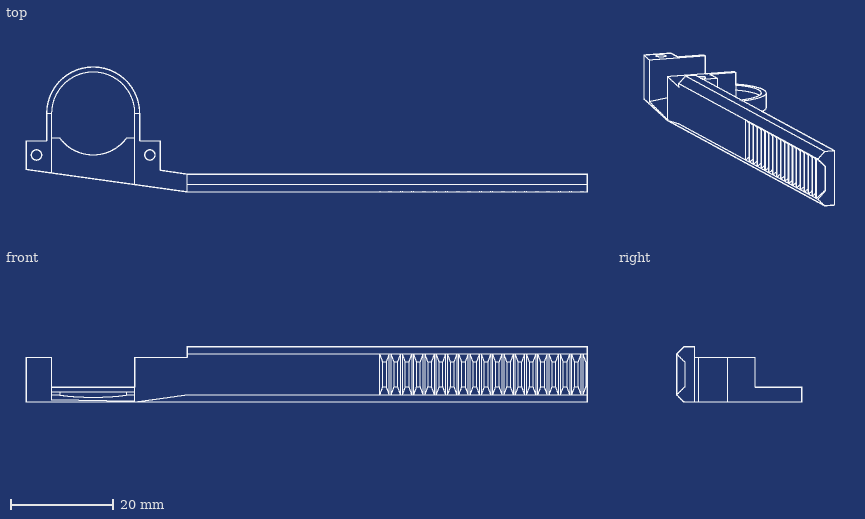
import cadquery as cq
import math

length = 109.7
bar_start = 31.5
bar_depth = 3.5
bar_height = 10.9
bar_chamfer = 1.4

wall_height = 8.8
tray_height = 3.0
tray_floor = 2.0
tray_outer_radius = 9.1
wall_thickness = 1.0
tray_inner_radius = tray_outer_radius - wall_thickness
tray_y = 15.4
head_front_y = 4.4
ear_back_y = 10.0
ear_right_x = 26.2
tray_x = ear_right_x / 2
neck_back_y = 4.3
hole_diameter = 2.0
hole_y = 7.2
hole_offset = 11.1

apron_back_y = 10.5
apron_slope = 0.13

tooth_module = 0.7
tooth_pitch = math.pi * tooth_module
depth_per_module = 2.25
tooth_depth = depth_per_module * tooth_module
pressure_angle = 20.0
root_width = 0.71
rack_start = 69.1
mouth_width = root_width + 2 * tooth_depth * math.tan(math.radians(pressure_angle))
first_groove_x = rack_start + mouth_width / 2
groove_count = math.ceil((length - rack_start) / tooth_pitch)

outer_left = tray_x - tray_outer_radius
outer_right = tray_x + tray_outer_radius
inner_left = tray_x - tray_inner_radius
inner_right = tray_x + tray_inner_radius


def bar():
    """Straight bar whose two front edges are bevelled."""
    profile = [
        (0, bar_chamfer),
        (bar_chamfer, 0),
        (bar_depth, 0),
        (bar_depth, bar_height),
        (bar_chamfer, bar_height),
        (0, bar_height - bar_chamfer),
    ]
    return (
        cq.Workplane("YZ", origin=(bar_start, 0, 0))
        .polyline(profile)
        .close()
        .extrude(length - bar_start)
    )


def head_block():
    """Block with two ears, a slanted front and a neck leading to the bar."""
    outline = [
        (0, head_front_y),
        (bar_start, 0),
        (bar_start, bar_depth),
        (ear_right_x, neck_back_y),
        (ear_right_x, ear_back_y),
        (outer_right, ear_back_y),
        (outer_right, tray_y),
        (outer_left, tray_y),
        (outer_left, ear_back_y),
        (0, ear_back_y),
    ]
    return cq.Workplane("XY").polyline(outline).close().extrude(wall_height)


def tray_disc():
    """Low round end of the tray, still solid."""
    return cq.Workplane("XY").center(tray_x, tray_y).circle(tray_outer_radius).extrude(tray_height)


def tray_pocket():
    """Open space above the tray floor and between the tall walls."""
    round_part = (
        cq.Workplane("XY", origin=(tray_x, tray_y, tray_floor))
        .circle(tray_inner_radius)
        .extrude(wall_height)
    )
    channel = cq.Workplane("XY", origin=(tray_x, 0, tray_floor)).box(
        2 * tray_inner_radius, tray_y, wall_height, centered=(True, False, False)
    )
    return round_part.union(channel)


def apron_cut():
    """Lowers the plate to a slope in front of the round floor."""
    profile = [
        (0, 0),
        (apron_back_y, apron_slope * apron_back_y),
        (apron_back_y, wall_height),
        (0, wall_height),
    ]
    wedge = (
        cq.Workplane("YZ", origin=(inner_left, 0, 0))
        .polyline(profile)
        .close()
        .extrude(inner_right - inner_left)
    )
    floor_disc = (
        cq.Workplane("XY").center(tray_x, tray_y).circle(tray_inner_radius).extrude(wall_height)
    )
    return wedge.cut(floor_disc)


def lower_bevel():
    """Carries the lower bevel of the bar on under the neck."""
    return (
        cq.Workplane("YZ")
        .polyline([(0, 0), (bar_chamfer, 0), (0, bar_chamfer)])
        .close()
        .extrude(bar_start)
    )


def ear_holes():
    """Vertical screw holes through both ears."""
    centres = [(tray_x - hole_offset, hole_y), (tray_x + hole_offset, hole_y)]
    return cq.Workplane("XY").pushPoints(centres).circle(hole_diameter / 2).extrude(wall_height)


def tooth_groove(x):
    """Tapered rack groove whose two ends slope inward at 45 degrees."""
    plan = [
        (x - mouth_width / 2, 0),
        (x + mouth_width / 2, 0),
        (x + root_width / 2, tooth_depth),
        (x - root_width / 2, tooth_depth),
    ]
    side = [
        (0, bar_chamfer),
        (tooth_depth, bar_chamfer + tooth_depth),
        (tooth_depth, bar_height - bar_chamfer - tooth_depth),
        (0, bar_height - bar_chamfer),
    ]
    flanks = cq.Workplane("XY").polyline(plan).close().extrude(bar_height)
    ends = (
        cq.Workplane("YZ", origin=(x - mouth_width / 2, 0, 0))
        .polyline(side)
        .close()
        .extrude(mouth_width)
    )
    return flanks.intersect(ends)


head = head_block().union(tray_disc())
head = head.cut(tray_pocket()).cut(apron_cut()).cut(lower_bevel()).cut(ear_holes())

result = head.union(bar())
for index in range(groove_count):
    result = result.cut(tooth_groove(first_groove_x + index * tooth_pitch))